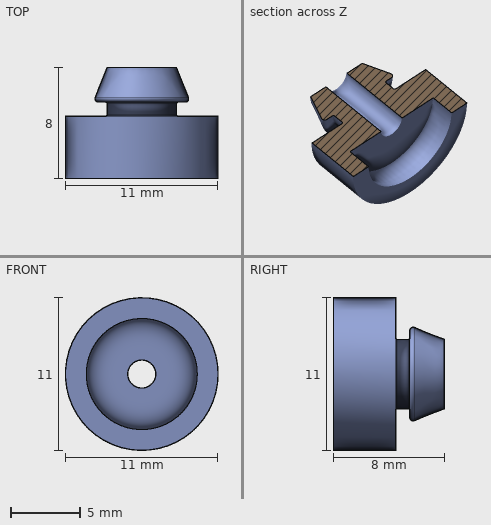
import cadquery as cq

total_length = 8.0
body_diameter = 11.0
body_length = 4.5
recess_diameter = 8.0
recess_depth = 2.0
bore_diameter = 2.0
neck_diameter = 5.0
neck_length = 1.0
lip_diameter = 7.0
lip_rounding = 0.25
neck_fillet = 0.1

body_radius = body_diameter / 2
recess_radius = recess_diameter / 2
bore_radius = bore_diameter / 2
neck_radius = neck_diameter / 2
tip_radius = neck_radius
lip_radius = lip_diameter / 2
lip_start = body_length + neck_length


def turned_blank():
    """Body, neck and tapered barb as one solid of revolution."""
    profile = (
        cq.Workplane("XY")
        .moveTo(bore_radius, recess_depth)
        .lineTo(recess_radius, recess_depth)
        .lineTo(recess_radius, 0)
        .lineTo(body_radius, 0)
        .lineTo(body_radius, body_length)
        .lineTo(neck_radius, body_length)
        .lineTo(neck_radius, lip_start)
        .lineTo(lip_radius, lip_start)
        .lineTo(tip_radius, total_length)
        .lineTo(bore_radius, total_length)
        .close()
    )
    return profile.revolve(360, (0, 0, 0), (0, 1, 0))


def round_edge(part, radius, y, rounding):
    """Fillet the circular edge of the given radius at position y."""
    margin = 0.01
    edges = [
        edge
        for edge in part.edges("%CIRCLE").vals()
        if abs(edge.radius() - radius) < margin and abs(edge.Center().y - y) < margin
    ]
    return part.newObject(edges).fillet(rounding)


result = turned_blank()
result = round_edge(result, lip_radius, lip_start, lip_rounding)
for neck_end in (body_length, lip_start):
    result = round_edge(result, neck_radius, neck_end, neck_fillet)